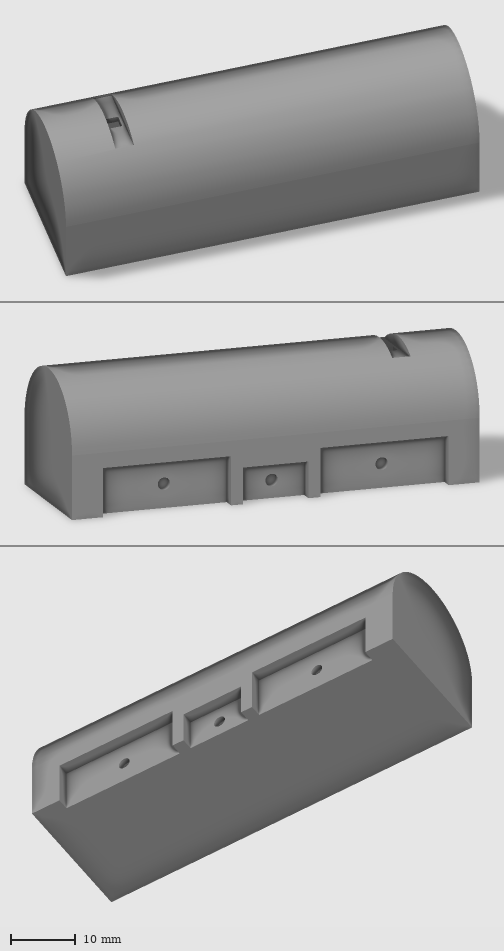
import cadquery as cq

LENGTH = 66.5
WIDTH = 22.2
HEIGHT = 21.4
TOP_RADIUS = WIDTH / 2
WALL_HEIGHT = HEIGHT - TOP_RADIUS

RECESS_DEPTH = 2.0
HOLE_DIAMETER = 2.0
HOLE_DEPTH = 1.0
LARGE_LENGTH = 20.9
LARGE_HEIGHT = 7.85
LARGE_OFFSET = 17.75
SMALL_LENGTH = 10.65
SMALL_HEIGHT = 5.85
LARGE_HOLE_SHIFT = -0.2
HOLE_DROP = 0.05

NOTCH_WIDTH = 12.0
NOTCH_LENGTH = 3.0
NOTCH_DEPTH = 2.0
NOTCH_Y = -22.3
SOCKET_SIZE = 2.2
SOCKET_DEPTH = 1.0


def make_body():
    """Extrude the arched profile along Y, centred on the origin."""
    half = WIDTH / 2
    return (
        cq.Workplane("XZ", origin=(0, LENGTH / 2, 0))
        .moveTo(-half, 0)
        .lineTo(half, 0)
        .lineTo(half, WALL_HEIGHT)
        .threePointArc((0, HEIGHT), (-half, WALL_HEIGHT))
        .close()
        .extrude(LENGTH)
    )


def make_recess(y_centre, length, height, hole_shift):
    """Side recess standing on the bottom face, plus the hole near its middle."""
    side_x = -WIDTH / 2
    pocket = cq.Workplane("XY").box(RECESS_DEPTH, length, height, centered=(False, True, False))
    hole = (
        cq.Workplane("YZ", origin=(RECESS_DEPTH, hole_shift, height / 2 - HOLE_DROP))
        .circle(HOLE_DIAMETER / 2)
        .extrude(HOLE_DEPTH)
    )
    return pocket.union(hole).translate((side_x, y_centre, 0))


def make_notch():
    """Crown notch, narrower than the body, plus the square hole below it."""
    floor_z = HEIGHT - NOTCH_DEPTH
    notch = cq.Workplane("XY").rect(NOTCH_WIDTH, NOTCH_LENGTH).extrude(NOTCH_DEPTH)
    socket = cq.Workplane("XY").rect(SOCKET_SIZE, SOCKET_SIZE).extrude(-SOCKET_DEPTH)
    return notch.union(socket).translate((0, NOTCH_Y, floor_z))


result = make_body()
for y_centre, length, height, hole_shift in (
    (-LARGE_OFFSET, LARGE_LENGTH, LARGE_HEIGHT, LARGE_HOLE_SHIFT),
    (0, SMALL_LENGTH, SMALL_HEIGHT, 0),
    (LARGE_OFFSET, LARGE_LENGTH, LARGE_HEIGHT, LARGE_HOLE_SHIFT),
):
    result = result.cut(make_recess(y_centre, length, height, hole_shift))
result = result.cut(make_notch())